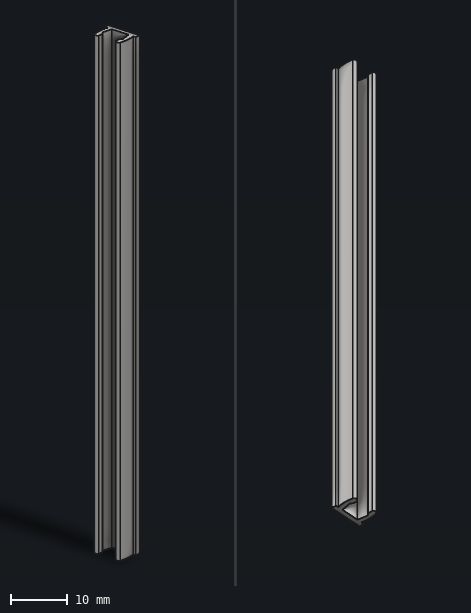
import cadquery as cq

LENGTH = 100.0
WIDTH = 7.2
DEPTH = 5.0

WEB_THICKNESS = 1.1

LEG_OUTER_ROOT = 3.0
LEG_OUTER_BULGE = 3.2
LEG_INNER_ROOT = 1.9
LEG_INNER_WAIST = 2.3
WAIST_HEIGHT = 1.8

LIP_INNER = LEG_INNER_ROOT
LIP_OUTER = 3.0
LIP_HEIGHT = 1.2
TIP_ROUND_HEIGHT = 0.3

BACK_Y = DEPTH / 2
WEB_Y = BACK_Y - WEB_THICKNESS
TIP_Y = -DEPTH / 2
TIP_ROUND_Y = TIP_Y + TIP_ROUND_HEIGHT
LIP_Y = TIP_Y + LIP_HEIGHT
WAIST_Y = TIP_Y + WAIST_HEIGHT
BULGE_Y = (WEB_Y + TIP_ROUND_Y) / 2


def make_web():
    """Flat strip closing the back of the channel."""
    return (
        cq.Workplane("XY")
        .center(0, BACK_Y - WEB_THICKNESS / 2)
        .rect(WIDTH, WEB_THICKNESS)
        .extrude(LENGTH)
    )


def make_leg():
    """Leg on the +X side: bowed outer flank, tapered inner face and round lip."""
    return (
        cq.Workplane("XY")
        .moveTo(LEG_INNER_ROOT, BACK_Y)
        .lineTo(LEG_OUTER_ROOT, BACK_Y)
        .lineTo(LEG_OUTER_ROOT, WEB_Y)
        .threePointArc((LEG_OUTER_BULGE, BULGE_Y), (LIP_OUTER, TIP_ROUND_Y))
        .threePointArc(((LIP_INNER + LIP_OUTER) / 2, TIP_Y), (LIP_INNER, TIP_ROUND_Y))
        .lineTo(LIP_INNER, LIP_Y)
        .lineTo(LEG_INNER_WAIST, WAIST_Y)
        .lineTo(LEG_INNER_ROOT, WEB_Y)
        .close()
        .extrude(LENGTH)
    )


leg = make_leg()
result = make_web().union(leg).union(leg.mirror("YZ")).translate((0, 0, -LENGTH / 2))